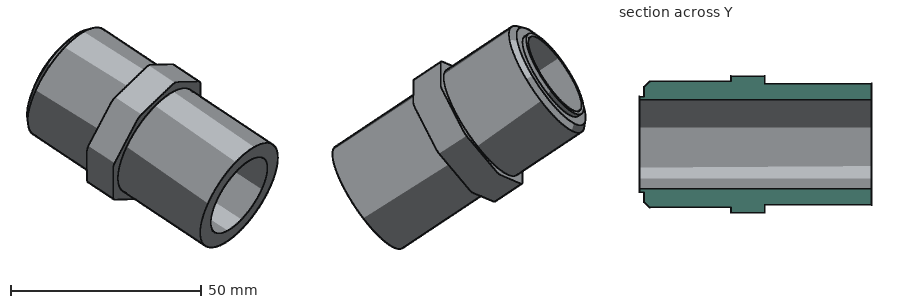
import cadquery as cq
import math

total_length = 61.0
lip_length = 1.2
chamfer_length = 1.45
collar_start = 24.05
collar_end = 32.95

bore_diameter = 23.3
lip_diameter = 25.25
chamfer_face_diameter = 30.4
body_diameter = 33.25
spigot_diameter = 32.0

collar_sides = 8
collar_across_flats = 36.0
collar_corner_radius = 2.8

x_start = -total_length / 2


def cylinder(diameter, start, end):
    """Solid cylinder on the X axis, placed by distance from the lip end."""
    return (
        cq.Workplane("YZ", origin=(x_start + start, 0, 0))
        .circle(diameter / 2)
        .extrude(end - start)
    )


def chamfered_body():
    """Larger cylinder with a cone leading in from the lip."""
    cone_end = lip_length + chamfer_length
    cone = (
        cq.Workplane("YZ", origin=(x_start + lip_length, 0, 0))
        .circle(chamfer_face_diameter / 2)
        .workplane(offset=chamfer_length)
        .circle(body_diameter / 2)
        .loft(ruled=True)
    )
    return cone.union(cylinder(body_diameter, cone_end, collar_end))


def wrench_collar():
    """Octagon with flats square to Y and Z and rounded corners."""
    half_angle = math.pi / collar_sides
    corner_distance = collar_across_flats / 2 / math.cos(half_angle)
    corners = []
    for i in range(collar_sides):
        angle = (2 * i + 1) * half_angle
        corners.append((corner_distance * math.cos(angle), corner_distance * math.sin(angle)))
    return (
        cq.Workplane("YZ", origin=(x_start + collar_start, 0, 0))
        .polyline(corners)
        .close()
        .extrude(collar_end - collar_start)
        .edges("|X")
        .fillet(collar_corner_radius)
    )


lip = cylinder(lip_diameter, 0, collar_end)
spigot = cylinder(spigot_diameter, collar_start, total_length)
bore = cylinder(bore_diameter, 0, total_length)

result = chamfered_body().union(lip).union(wrench_collar()).union(spigot).cut(bore)